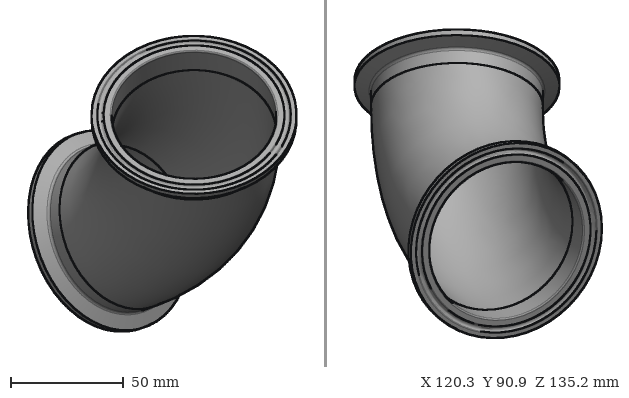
import cadquery as cq
import math

TUBE_OUTER_RADIUS = 38.1
BORE_RADIUS = 36.5
BEND_RADIUS = 3 * TUBE_OUTER_RADIUS
BEND_ANGLE = 45.0

FERRULE_LENGTH = 13.0
FLANGE_DIAMETER = 90.9
FLANGE_RADIUS = FLANGE_DIAMETER / 2
LIP_THICKNESS = 3.0
CONE_ANGLE = 20.0
NECK_FILLET = 1.4
MOUTH_FILLET = 0.7

GROOVE_RADIUS = 41.5
GROOVE_WIDTH = 3.0
GROOVE_DEPTH = 1.1
GROOVE_EDGE_FILLET = 0.4

CONE_HEIGHT = (FLANGE_RADIUS - TUBE_OUTER_RADIUS) * math.tan(math.radians(CONE_ANGLE))
NECK_START = LIP_THICKNESS + CONE_HEIGHT


def make_ferrule():
    """Ferrule on the Z axis, sealing face at z = 0, neck pointing down."""
    groove_inner = GROOVE_RADIUS - GROOVE_WIDTH / 2
    groove_outer = GROOVE_RADIUS + GROOVE_WIDTH / 2
    profile = (
        cq.Workplane("XZ")
        .moveTo(BORE_RADIUS, 0)
        .lineTo(groove_inner, 0)
        .threePointArc((GROOVE_RADIUS, -GROOVE_DEPTH), (groove_outer, 0))
        .lineTo(FLANGE_RADIUS, 0)
        .lineTo(FLANGE_RADIUS, -LIP_THICKNESS)
        .lineTo(TUBE_OUTER_RADIUS, -NECK_START)
        .lineTo(TUBE_OUTER_RADIUS, -FERRULE_LENGTH)
        .lineTo(BORE_RADIUS, -FERRULE_LENGTH)
        .close()
    )
    body = profile.revolve(360, (0, 0, 0), (0, 1, 0))
    body = body.edges(circle_box(BORE_RADIUS, 0)).fillet(MOUTH_FILLET)
    for radius in (groove_inner, groove_outer):
        body = body.edges(circle_box(radius, 0)).fillet(GROOVE_EDGE_FILLET)
    return body.edges(circle_box(TUBE_OUTER_RADIUS, -NECK_START)).fillet(NECK_FILLET)


def circle_box(radius, height):
    """Selector for the circle of the given radius around Z at the given height."""
    margin = 0.1
    outer = radius + margin
    inner = radius - margin
    around = cq.selectors.BoxSelector(
        (-outer, -outer, height - margin), (outer, outer, height + margin), boundingbox=True
    )
    within = cq.selectors.BoxSelector(
        (-inner, -inner, height - margin), (inner, inner, height + margin), boundingbox=True
    )
    return around - within


def make_elbow():
    """Bent tube that starts under the top ferrule and curves down toward -X."""
    return (
        cq.Workplane("XY")
        .workplane(offset=-FERRULE_LENGTH)
        .circle(TUBE_OUTER_RADIUS)
        .circle(BORE_RADIUS)
        .revolve(BEND_ANGLE, (-BEND_RADIUS, 0, 0), (-BEND_RADIUS, 1, 0))
    )


def place_ferrules():
    """One ferrule on each end of the elbow, mirrored about the middle of the bend."""
    bend_center = (-BEND_RADIUS, 0, -FERRULE_LENGTH)
    bend_axis_end = (-BEND_RADIUS, 1, -FERRULE_LENGTH)
    flipped = make_ferrule().mirror("XY", (0, 0, -FERRULE_LENGTH))
    lower = flipped.rotate(bend_center, bend_axis_end, BEND_ANGLE)
    return [make_ferrule(), lower]


elbow = make_elbow()
ferrules = place_ferrules()
result = cq.Compound.makeCompound([elbow.val(), *[ferrule.val() for ferrule in ferrules]])